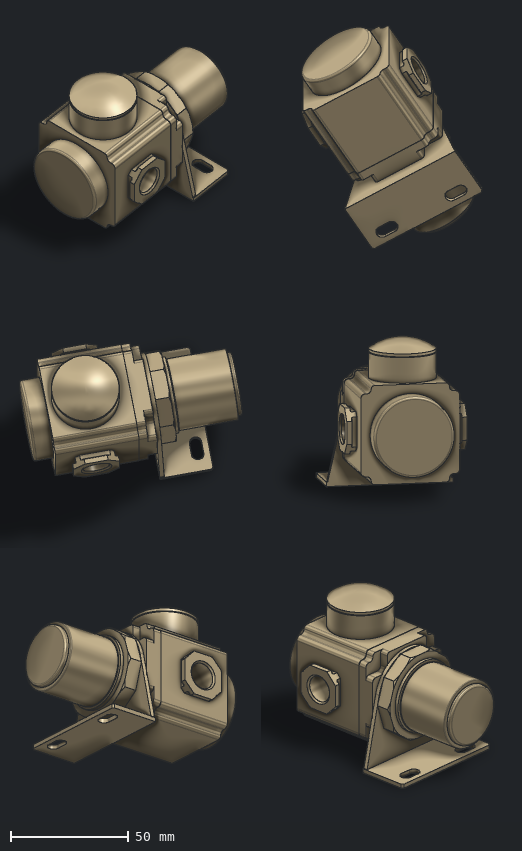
import cadquery as cq
import math


body_size = 43.0
rear_body_size = 42.8
body_front_y = -17.0
seam_y = 19.3
notch_y = 23.2
body_rear_y = 27.2
side_radius = 2.0
root_radius = 2.0
top_radius = 1.5
shortest_wall = 0.001
rail_step_width = 4.5
rail_step_height = 3.5
notch_step = 9.2

gauge_radius = 17.5
gauge_length = 8.5
gauge_fillet = 1.0

dome_radius = 14.5
dome_top_z = 39.0
dome_rise = 4.8
dome_groove_below_rim = 1.3
dome_groove_width = 0.3
dome_groove_depth = 0.15

port_face_x = 26.2
port_size = 20.0
port_chamfer = 5.0
port_flange_thickness = 2.3
port_neck_size = 17.0
port_neck_fillet = 0.5
port_bore_radius = 5.8
port_mouth_radius = 6.6
port_bore_depth = 15.0

bracket_thickness = 2.0
bracket_round_radius = 20.0
bracket_upright_width = 54.0
base_width = 55.0
base_length = 23.2
base_bottom_z = -30.0
base_corner_chamfer = 0.9
slot_length = 10.0
slot_width = 5.2
slot_centre_x = 17.2
slot_centre_y = 45.0

nut_sides = 10
nut_across_flats = 39.0
nut_thickness = 6.6
nut_corner_chamfer = 0.8
collar_radius = 16.5
collar_end_y = 37.4
neck_radius = 15.2
knob_start_y = 37.8
knob_radius = 15.5
knob_end_y = 63.5
knob_edge_fillet = 0.3
cap_radius = 13.75
cap_end_y = 65.5
cap_fillet = 0.9

bracket_rear_y = body_rear_y + bracket_thickness
nut_rear_y = bracket_rear_y + nut_thickness


def plane_facing_rear(y):
    """Workplane at the given Y whose normal is +Y (local x = -X, local y = +Z)."""
    return cq.Workplane(cq.Plane(origin=(0, y, 0), xDir=(-1, 0, 0), normal=(0, 1, 0)))


def disc(radius, start_y, end_y):
    return plane_facing_rear(start_y).circle(radius).extrude(end_y - start_y)


def stepped_block(size, step_width, step_height, start_y, end_y):
    """Square block with a rounded step cut from each corner."""
    half = size / 2
    wall_x = half - step_width
    floor_z = half - step_height
    diagonal = math.sqrt(0.5)

    def add_quarter_arc(wp, centre, radius, mid_signs, end):
        mid = (
            centre[0] + mid_signs[0] * radius * diagonal,
            centre[1] + mid_signs[1] * radius * diagonal,
        )
        return wp.threePointArc(mid, end)

    wp = plane_facing_rear(start_y).moveTo(0, 0).lineTo(half, 0)
    wp = wp.lineTo(half, floor_z - side_radius)
    side_centre = (half - side_radius, floor_z - side_radius)
    wp = add_quarter_arc(wp, side_centre, side_radius, (1, 1), (side_centre[0], floor_z))
    wp = wp.lineTo(wall_x + root_radius, floor_z)
    root_centre = (wall_x + root_radius, floor_z + root_radius)
    wp = add_quarter_arc(wp, root_centre, root_radius, (-1, -1), (wall_x, root_centre[1]))
    top_centre = (wall_x - top_radius, half - top_radius)
    if top_centre[1] - root_centre[1] > shortest_wall:
        wp = wp.lineTo(wall_x, top_centre[1])
    wp = add_quarter_arc(wp, top_centre, top_radius, (1, 1), (top_centre[0], half))
    quarter_block = wp.lineTo(0, half).close().extrude(end_y - start_y)
    half_block = quarter_block.union(quarter_block.mirror("YZ"))
    return half_block.union(half_block.mirror("XY")).clean()


def make_body():
    front = stepped_block(body_size, rail_step_width, rail_step_height, body_front_y, seam_y)
    middle = stepped_block(rear_body_size, rail_step_width, rail_step_height, seam_y, notch_y)
    rear = stepped_block(rear_body_size, notch_step, notch_step, notch_y, body_rear_y)
    return front.union(middle).union(rear)


def make_gauge():
    gauge = disc(gauge_radius, body_front_y - gauge_length, body_front_y)
    return gauge.faces("<Y").edges().fillet(gauge_fillet)


def make_dome():
    rim_z = dome_top_z - dome_rise
    groove_top = rim_z - dome_groove_below_rim
    groove_bottom = groove_top - dome_groove_width
    groove_radius = dome_radius - dome_groove_depth
    sphere_radius = (dome_radius**2 + dome_rise**2) / (2 * dome_rise)
    half_angle = math.asin(dome_radius / sphere_radius) / 2
    arc_mid = (
        sphere_radius * math.sin(half_angle),
        dome_top_z - sphere_radius * (1 - math.cos(half_angle)),
    )
    return (
        cq.Workplane("XZ")
        .lineTo(dome_radius, 0)
        .lineTo(dome_radius, groove_bottom)
        .lineTo(groove_radius, groove_bottom)
        .lineTo(groove_radius, groove_top)
        .lineTo(dome_radius, groove_top)
        .lineTo(dome_radius, rim_z)
        .threePointArc(arc_mid, (0, dome_top_z))
        .close()
        .revolve(360, (0, 0, 0), (0, 1, 0))
    )


def make_port():
    """Port boss on the +X side: chamfered square with a square neck behind its flange."""
    outer = (
        cq.Workplane("YZ")
        .rect(port_size, port_size)
        .extrude(port_face_x)
        .edges("|X")
        .chamfer(port_chamfer)
    )
    neck_end_x = port_face_x - port_flange_thickness
    neck = cq.Workplane("YZ").rect(port_neck_size, port_neck_size).extrude(neck_end_x)
    flange = (
        cq.Workplane("YZ")
        .workplane(offset=neck_end_x)
        .rect(port_size, port_size)
        .extrude(port_flange_thickness)
    )
    neck_and_flange = neck.union(flange)
    margin = port_neck_fillet / 2
    reach = port_neck_size / 2 + margin
    root_edges = cq.selectors.BoxSelector(
        (neck_end_x - margin, -reach, -reach),
        (neck_end_x + margin, reach, reach),
    )
    neck_and_flange = neck_and_flange.edges(root_edges).fillet(port_neck_fillet)
    return neck_and_flange.intersect(outer)


def make_port_bore():
    """Blind bore with a 45 degree mouth, entering from the +X side."""
    mouth_depth = port_mouth_radius - port_bore_radius
    bore_end_x = port_face_x - port_bore_depth
    return (
        cq.Workplane("XY")
        .moveTo(bore_end_x, 0)
        .lineTo(bore_end_x, port_bore_radius)
        .lineTo(port_face_x - mouth_depth, port_bore_radius)
        .lineTo(port_face_x, port_mouth_radius)
        .lineTo(port_face_x, 0)
        .close()
        .revolve(360, (0, 0, 0), (1, 0, 0))
    )


def make_bracket():
    """L bracket: upright with sides tangent to its round top, and a slotted foot."""
    base_top_z = base_bottom_z + bracket_thickness
    corner_x = bracket_upright_width / 2
    corner_distance = math.hypot(corner_x, base_top_z)
    tangent_angle = math.atan2(base_top_z, corner_x) + math.acos(bracket_round_radius / corner_distance)
    tangent_x = bracket_round_radius * math.cos(tangent_angle)
    tangent_z = bracket_round_radius * math.sin(tangent_angle)
    upright = (
        plane_facing_rear(body_rear_y)
        .moveTo(corner_x, base_top_z)
        .lineTo(tangent_x, tangent_z)
        .threePointArc((0, bracket_round_radius), (-tangent_x, tangent_z))
        .lineTo(-corner_x, base_top_z)
        .close()
        .extrude(bracket_thickness)
    )
    base = (
        cq.Workplane("XY")
        .box(base_width, base_length, bracket_thickness, centered=(True, False, False))
        .translate((0, body_rear_y, base_bottom_z))
        .edges("|Z and >Y")
        .chamfer(base_corner_chamfer)
    )
    slots = (
        cq.Workplane("XY", origin=(0, slot_centre_y, base_bottom_z))
        .pushPoints([(-slot_centre_x, 0), (slot_centre_x, 0)])
        .slot2D(slot_length, slot_width)
        .extrude(bracket_thickness)
    )
    return upright.union(base.cut(slots))


def make_nut():
    """Ten-sided nut with a flat on top and its rear corners chamfered."""
    nut_diameter = nut_across_flats / math.cos(math.pi / nut_sides)
    nut = (
        plane_facing_rear(bracket_rear_y)
        .polygon(nut_sides, nut_diameter)
        .extrude(nut_thickness)
    )
    corner_round = disc(nut_diameter / 2, bracket_rear_y, nut_rear_y)
    return nut.intersect(corner_round.faces(">Y").edges().chamfer(nut_corner_chamfer))


def make_knob():
    collar = disc(collar_radius, nut_rear_y, collar_end_y)
    neck = disc(neck_radius, collar_end_y, knob_start_y)
    knob = disc(knob_radius, knob_start_y, knob_end_y).faces(">Y").edges().fillet(knob_edge_fillet)
    cap = disc(cap_radius, knob_end_y, cap_end_y).faces(">Y").edges().fillet(cap_fillet)
    return collar.union(neck).union(knob).union(cap)


port = make_port()
port_bore = make_port_bore()

result = make_body().union(make_gauge()).union(make_dome())
result = result.union(port).union(port.mirror("YZ"))
result = result.cut(port_bore).cut(port_bore.mirror("YZ"))
result = result.union(make_bracket()).union(make_nut()).union(make_knob())